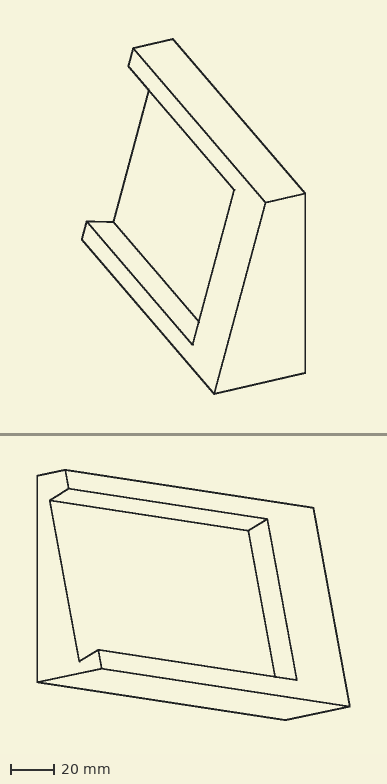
import cadquery as cq
import math

length = 150.0
depth = 45.9
height = 96.6
lean_angle = 15.0
pocket_length = 120.0
pocket_width = 81.0
pocket_depth = 14.0

lean = math.radians(lean_angle)
top_setback = height * math.tan(lean)
slope_length = height / math.cos(lean)
pocket_margin = (slope_length - pocket_width) / 2


def slope_point(distance, inset):
    """Return (y, z) at a distance up the sloping face and an inset into the body."""
    y = distance * math.sin(lean) + inset * math.cos(lean)
    z = distance * math.cos(lean) - inset * math.sin(lean)
    return (y, z)


def make_wedge():
    """Wedge with a vertical back, flat top and leaning front face."""
    profile = [(0, 0), (depth, 0), (depth, height), (top_setback, height)]
    return cq.Workplane("YZ").polyline(profile).close().extrude(length)


def make_pocket():
    """Rectangular recess square to the sloping face, running in from the -X end."""
    lower = pocket_margin
    upper = pocket_margin + pocket_width
    profile = [
        slope_point(lower, 0),
        slope_point(lower, pocket_depth),
        slope_point(upper, pocket_depth),
        slope_point(upper, 0),
    ]
    return cq.Workplane("YZ").polyline(profile).close().extrude(pocket_length)


result = make_wedge().cut(make_pocket())